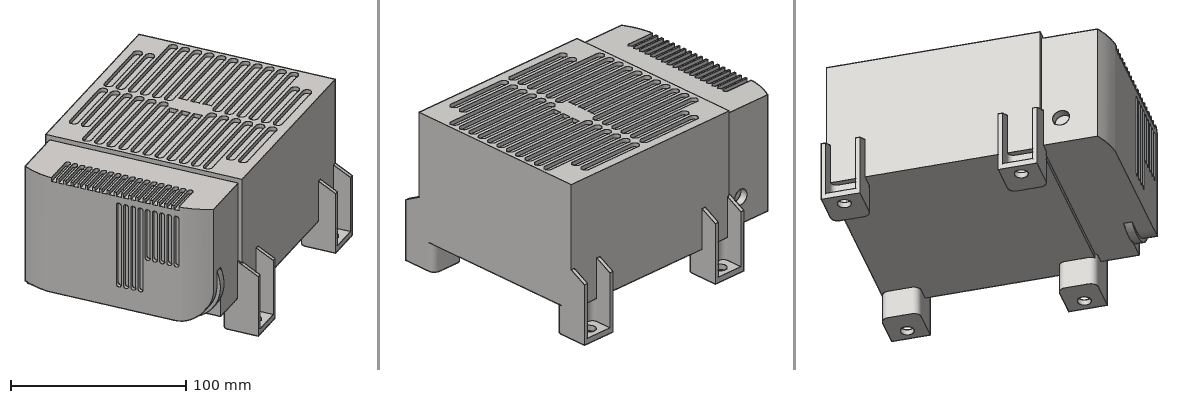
import cadquery as cq
TOTAL_HEIGHT = 100.0
BODY_WIDTH = 123.5
BODY_LENGTH = 127.0
BODY_BOTTOM = 18.6

COVER_WIDTH = 118.6
COVER_LENGTH = 39.0
COVER_BOTTOM = 21.6
COVER_TOP = 97.0
COVER_FLAT_WIDTH = 85.0
SHOULDER_DEPTH = 5.6
SHOULDER_BULGE = 0.8

VENT_DEPTH = 2.5
VENT_WIDTH = 5.3
VENT_PITCH = 7.6
VENT_GAP = 2.5
VENT_LONG = 59.7
VENT_SHORT = 44.8
PANEL_LENGTH = 12.4
CENTRE_COLUMNS = 1
LONG_COLUMNS = 5
LAST_COLUMN = 7

LOUVRE_DEPTH = 2.5
LOUVRE_WIDTH = 3.1
LOUVRE_PITCH = 4.53
TOP_LOUVRES = 18
TOP_LOUVRE_LENGTH = 20.3
TOP_LOUVRE_CORNER = 1.5
FRONT_LOUVRES = 9
LONG_FRONT_LOUVRES = 4
FRONT_LOUVRE_TOP = 90.3
FRONT_LOUVRE_LONG = 55.0
FRONT_LOUVRE_SHORT = 33.3

SIDE_HOLE_DIAMETER = 10.0
SIDE_HOLE_DEPTH = 5.0
SIDE_HOLE_SETBACK = 11.7
SIDE_HOLE_HEIGHT = 38.8

CORNER_RADIUS = 22.3
WHEEL_OVERHANG = 2.2
WHEEL_THICKNESS = 5.0
WHEEL_SETBACK = 10.0

FOOT_SPAN = 145.0
FOOT_LENGTH = 23.1
FOOT_WIDTH = 23.0
FOOT_WALL = 2.5
FOOT_BACK_WALL = 9.0
FOOT_BASE = 3.7
FOOT_CORNER_RADIUS = 4.4
FOOT_POCKET_RADIUS = 3.4
FOOT_OUTER_HEIGHT = 39.2
FOOT_PEAK_HEIGHT = 46.2
FOOT_OVERLAP = 1.2
SCREW_HOLE_DIAMETER = 8.0
SCREW_HOLE_INSET = 7.7

COVER_HALF = COVER_WIDTH / 2
COVER_FRONT = -COVER_LENGTH
COVER_HEIGHT = COVER_TOP - COVER_BOTTOM
VENT_MIDDLE = BODY_LENGTH / 2
WHEEL_X = COVER_HALF - CORNER_RADIUS
WHEEL_Z = COVER_BOTTOM + CORNER_RADIUS
WHEEL_FRONT = COVER_FRONT + WHEEL_SETBACK
WHEEL_BACK = WHEEL_FRONT + WHEEL_THICKNESS
FOOT_OUTER_X = FOOT_SPAN / 2
FOOT_INNER_X = FOOT_OUTER_X - FOOT_LENGTH
FRONT_FOOT_Y = FOOT_WIDTH / 2 - FOOT_OVERLAP
REAR_FOOT_Y = BODY_LENGTH - FOOT_WIDTH / 2


def block(x_range, y_range, z_range):
    """Box between the given limits along each axis."""
    sizes = [high - low for low, high in (x_range, y_range, z_range)]
    corner = (x_range[0], y_range[0], z_range[0])
    return cq.Workplane("XY").box(*sizes, centered=False).translate(corner)


def cylinder_along_y(x, z, radius, y_front, y_back):
    """Cylinder between two Y positions."""
    plane = cq.Workplane("XZ", origin=(x, y_back, z))
    return plane.circle(radius).extrude(y_back - y_front)


def make_body():
    half = BODY_WIDTH / 2
    return block((-half, half), (0, BODY_LENGTH), (BODY_BOTTOM, TOTAL_HEIGHT))


def make_vent(column, side):
    """One top vent; side is +1 for the rear row and -1 for the front row."""
    distance = abs(column)
    length = VENT_LONG if distance <= LONG_COLUMNS else VENT_SHORT
    x = column * VENT_PITCH
    y = VENT_MIDDLE + side * (VENT_GAP + length) / 2
    plane = cq.Workplane("XY", origin=(x, y, TOTAL_HEIGHT))
    return plane.slot2D(length, VENT_WIDTH, 90).extrude(-VENT_DEPTH)


def make_vents():
    vents = cq.Workplane("XY")
    for column in range(-LAST_COLUMN, LAST_COLUMN + 1):
        for side in (-1, 1):
            vents = vents.add(make_vent(column, side))
    panel_half_width = (CENTRE_COLUMNS + 0.5) * VENT_PITCH
    panel = block(
        (-panel_half_width, panel_half_width),
        (VENT_MIDDLE - PANEL_LENGTH / 2, VENT_MIDDLE + PANEL_LENGTH / 2),
        (TOTAL_HEIGHT - VENT_DEPTH, TOTAL_HEIGHT),
    )
    return vents.combine().cut(panel)


def make_cover():
    """Cover with a flat front between two curved shoulders."""
    flat_half = COVER_FLAT_WIDTH / 2
    shoulder_y = COVER_FRONT + SHOULDER_DEPTH
    return (
        cq.Workplane("XY", origin=(0, 0, COVER_BOTTOM))
        .moveTo(-COVER_HALF, 0)
        .lineTo(-COVER_HALF, shoulder_y)
        .sagittaArc((-flat_half, COVER_FRONT), -SHOULDER_BULGE)
        .lineTo(flat_half, COVER_FRONT)
        .sagittaArc((COVER_HALF, shoulder_y), -SHOULDER_BULGE)
        .lineTo(COVER_HALF, 0)
        .close()
        .extrude(COVER_HEIGHT)
    )


def make_top_louvres():
    """Louvres in the cover top: round at the rear end, open at the front face."""
    louvres = cq.Workplane("XY")
    rear_y = COVER_FRONT + TOP_LOUVRE_LENGTH
    for index in range(TOP_LOUVRES):
        x = (index - (TOP_LOUVRES - 1) / 2) * LOUVRE_PITCH
        louvre = block(
            (x - LOUVRE_WIDTH / 2, x + LOUVRE_WIDTH / 2),
            (COVER_FRONT, rear_y),
            (COVER_TOP - LOUVRE_DEPTH, COVER_TOP),
        )
        louvre = louvre.edges("|Z and >Y").fillet(TOP_LOUVRE_CORNER)
        louvres = louvres.add(louvre)
    return louvres.combine()


def make_front_louvres():
    """Upright louvres in the +X half of the front face, hanging from a common top line."""
    louvres = cq.Workplane("XY")
    for index in range(FRONT_LOUVRES):
        length = FRONT_LOUVRE_LONG if index < LONG_FRONT_LOUVRES else FRONT_LOUVRE_SHORT
        x = (index + 0.5) * LOUVRE_PITCH
        plane = cq.Workplane("XZ", origin=(x, COVER_FRONT, FRONT_LOUVRE_TOP - length / 2))
        louvres = louvres.add(plane.slot2D(length, LOUVRE_WIDTH, 90).extrude(-LOUVRE_DEPTH))
    return louvres.combine()


def make_side_hole():
    plane = cq.Workplane("YZ", origin=(-COVER_HALF, -SIDE_HOLE_SETBACK, SIDE_HOLE_HEIGHT))
    return plane.circle(SIDE_HOLE_DIAMETER / 2).extrude(SIDE_HOLE_DEPTH)


def make_corner_cut():
    """Waste outside the rounded lower +X corner, from the cover front to the wheel back."""
    y_range = (COVER_FRONT, WHEEL_BACK)
    corner = block((WHEEL_X, COVER_HALF), y_range, (COVER_BOTTOM, WHEEL_Z))
    return corner.cut(cylinder_along_y(WHEEL_X, WHEEL_Z, CORNER_RADIUS, *y_range))


def make_wheel():
    radius = CORNER_RADIUS + WHEEL_OVERHANG
    return cylinder_along_y(WHEEL_X, WHEEL_Z, radius, WHEEL_FRONT, WHEEL_BACK)


def make_foot(y):
    """Foot on the -X side: sloping-topped walls around a pocket open to the outside."""
    foot = (
        cq.Workplane("XZ", origin=(0, y + FOOT_WIDTH / 2, 0))
        .moveTo(-FOOT_OUTER_X, 0)
        .lineTo(-FOOT_OUTER_X, FOOT_OUTER_HEIGHT)
        .lineTo(-COVER_HALF, FOOT_PEAK_HEIGHT)
        .lineTo(-FOOT_INNER_X, FOOT_PEAK_HEIGHT)
        .lineTo(-FOOT_INNER_X, 0)
        .close()
        .extrude(FOOT_WIDTH)
        .edges("|Z and >X")
        .fillet(FOOT_CORNER_RADIUS)
    )
    pocket_half = FOOT_WIDTH / 2 - FOOT_WALL
    pocket = (
        block(
            (-FOOT_OUTER_X, -FOOT_INNER_X - FOOT_BACK_WALL),
            (y - pocket_half, y + pocket_half),
            (FOOT_BASE, FOOT_PEAK_HEIGHT),
        )
        .edges("|Z and >X")
        .fillet(FOOT_POCKET_RADIUS)
    )
    screw_hole = (
        cq.Workplane("XY", origin=(-FOOT_OUTER_X + SCREW_HOLE_INSET, y, 0))
        .circle(SCREW_HOLE_DIAMETER / 2)
        .extrude(FOOT_BASE)
    )
    return foot.cut(pocket).cut(screw_hole)


cover = make_cover()
cover = cover.cut(make_top_louvres()).cut(make_front_louvres())
cover = cover.cut(make_side_hole()).cut(make_corner_cut()).union(make_wheel())

result = make_body().cut(make_vents()).union(cover)
for foot_y in (FRONT_FOOT_Y, REAR_FOOT_Y):
    left_foot = make_foot(foot_y)
    result = result.union(left_foot).union(left_foot.mirror("YZ"))